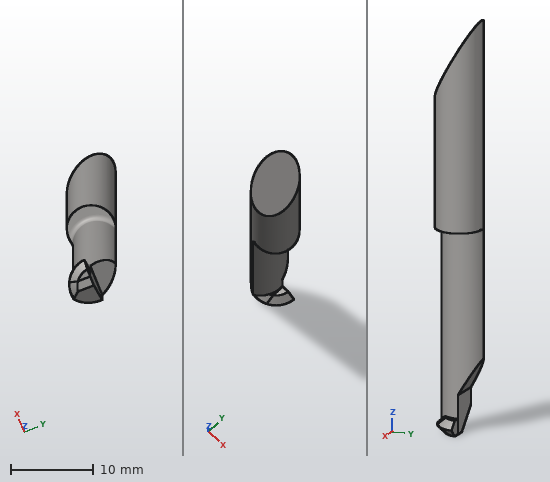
import cadquery as cq
import math

length = 52.45
diameter = 6.0
radius = diameter / 2
oblique_angle = 60.0
shoulder_height = 25.95
neck_shift = 2.0
neck_fillet = 0.65
split_x = radius - neck_shift
back_face_y = 0.25
relief_height = 5.0
chop_offset = 0.2
rim_radius = 3.45
rim_bevel = 1.0
rim_center_x = radius - rim_radius
rim_center_y = 0.65
reach = 3 * diameter

oblique_slope = math.tan(math.radians(oblique_angle))


def make_blank():
    """Round bar from the widest level of the rim up, with its oblique top face."""
    bar = cq.Workplane("XY").workplane(offset=rim_bevel).circle(radius).extrude(length - rim_bevel)
    above_top_face = (
        cq.Workplane("YZ")
        .moveTo(radius, length)
        .lineTo(-radius, length - diameter * oblique_slope)
        .lineTo(-radius - reach, length - (diameter + reach) * oblique_slope)
        .lineTo(-radius - reach, length)
        .close()
        .extrude(radius, both=True)
    )
    return bar.cut(above_top_face)


def make_neck_cutter():
    """Ring that leaves the neck inside it, rounded where the flank runs into the shoulder."""
    ring_height = shoulder_height - rim_bevel
    return (
        cq.Workplane("XZ")
        .moveTo(radius, 0)
        .lineTo(radius, ring_height - neck_fillet)
        .radiusArc((radius + neck_fillet, ring_height), neck_fillet)
        .lineTo(reach, ring_height)
        .lineTo(reach, 0)
        .close()
        .revolve(360, (0, 0, 0), (0, 1, 0))
        .translate((-neck_shift, 0, rim_bevel))
    )


def make_rim():
    """Double-bevelled disc around the cutting edge, kept within the bar diameter."""
    face_radius = rim_radius - rim_bevel
    disc = (
        cq.Workplane("XZ")
        .lineTo(face_radius, 0)
        .lineTo(rim_radius, rim_bevel)
        .lineTo(face_radius, 2 * rim_bevel)
        .lineTo(0, 2 * rim_bevel)
        .close()
        .revolve(360, (0, 0, 0), (0, 1, 0))
        .translate((rim_center_x, rim_center_y, 0))
    )
    return disc.intersect(cq.Workplane("XY").circle(radius).extrude(2 * rim_bevel))


def make_back_relief():
    """Flat back face at the bottom, with the oblique relief rising from it."""
    relief_width = radius + 0.5 - back_face_y
    return (
        cq.Workplane("YZ")
        .moveTo(back_face_y, 0)
        .lineTo(back_face_y, relief_height)
        .lineTo(back_face_y + relief_width, relief_height + relief_width * oblique_slope)
        .lineTo(back_face_y + relief_width, 0)
        .close()
        .extrude(reach, both=True)
    )


def make_end_chop():
    """45 degree end face falling toward +X."""
    return (
        cq.Workplane("XZ")
        .moveTo(-chop_offset, 0)
        .lineTo(-chop_offset - reach, reach)
        .lineTo(-chop_offset - reach, 0)
        .close()
        .extrude(reach, both=True)
    )


def make_tip_region():
    """Block that holds everything beyond the crest of the neck, up to the top of the rim."""
    return cq.Workplane("XY").box(reach, reach, 2 * rim_bevel, centered=(False, True, False)).translate(
        (split_x, 0, 0)
    )


bar = make_blank().cut(make_neck_cutter()).union(make_rim())
bar = bar.cut(make_back_relief()).cut(make_end_chop())

shank = bar.cut(make_tip_region())
tip = bar.intersect(make_tip_region())

result = cq.Compound.makeCompound([shank.val(), tip.val()])